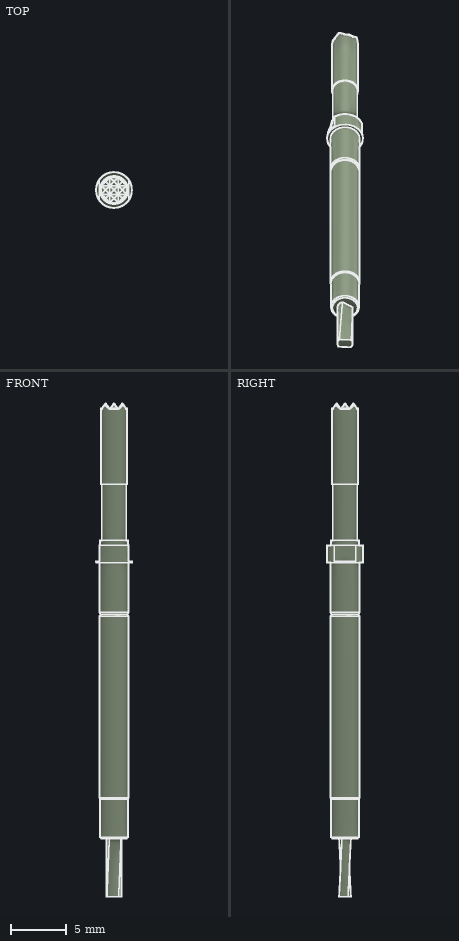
import cadquery as cq
import math


TOTAL_LENGTH = 44.1

TAIL_TOP = 5.2
BARREL_STEP = 8.75
GROOVE_CENTRE = 25.25
FLANGE_BOTTOM = 29.85
FLANGE_TOP = 31.4
HOUSING_TOP = 31.85
PLUNGER_STEP = 36.9

BARREL_DIAMETER = 2.6
NECK_DIAMETER = 2.5
STEP_TAPER_LENGTH = 0.15
END_CHAMFER = 0.15
GROOVE_WIDTH = 0.35
GROOVE_DEPTH = 0.1
FLANGE_DIAMETER = 3.2
FLANGE_FLAT_WIDTH = 2.6
FLANGE_RIM = 0.15

TAIL_DIAMETER = 1.35
TAIL_THICKNESS = 0.85
TAIL_TWIST = 29.0

STEM_DIAMETER = 2.2
HEAD_DIAMETER = 2.35
TOOTH_PITCH = 0.75
TOOTH_ROWS = 3
TOOTH_HEIGHT = 0.55


def cylinder(diameter, bottom, top):
    return cq.Workplane("XY").workplane(offset=bottom).circle(diameter / 2).extrude(top - bottom)


def make_barrel():
    """Turned body of the housing: thin end, step, V-groove and upper collar."""
    radius = BARREL_DIAMETER / 2
    neck_radius = NECK_DIAMETER / 2
    outline = [
        (0, TAIL_TOP),
        (neck_radius - END_CHAMFER, TAIL_TOP),
        (neck_radius, TAIL_TOP + END_CHAMFER),
        (neck_radius, BARREL_STEP),
        (radius, BARREL_STEP + STEP_TAPER_LENGTH),
        (radius, GROOVE_CENTRE - GROOVE_WIDTH / 2),
        (radius - GROOVE_DEPTH, GROOVE_CENTRE),
        (radius, GROOVE_CENTRE + GROOVE_WIDTH / 2),
        (radius, FLANGE_BOTTOM),
        (neck_radius, FLANGE_BOTTOM),
        (neck_radius, HOUSING_TOP),
        (0, HOUSING_TOP),
    ]
    return cq.Workplane("XZ").polyline(outline).close().revolve(360, (0, 0), (0, 1))


def make_flange():
    """Round flange with two flats that stop short of a thin rim at the bottom."""
    rim_top = FLANGE_BOTTOM + FLANGE_RIM
    rim = cylinder(FLANGE_DIAMETER, FLANGE_BOTTOM, rim_top)
    flats = (
        cq.Workplane("XY")
        .workplane(offset=rim_top)
        .rect(FLANGE_FLAT_WIDTH, FLANGE_DIAMETER)
        .extrude(FLANGE_TOP - rim_top)
    )
    return rim.union(cylinder(FLANGE_DIAMETER, rim_top, FLANGE_TOP).intersect(flats))


def make_tail():
    """Flattened wire twisted evenly about the axis, with its flats facing Y at mid-length."""
    radius = TAIL_DIAMETER / 2
    flat_y = TAIL_THICKNESS / 2
    flat_x = math.sqrt(radius**2 - flat_y**2)
    return (
        cq.Workplane("XY")
        .transformed(rotate=(0, 0, -TAIL_TWIST / 2))
        .moveTo(-flat_x, -flat_y)
        .lineTo(flat_x, -flat_y)
        .threePointArc((radius, 0), (flat_x, flat_y))
        .lineTo(-flat_x, flat_y)
        .threePointArc((-radius, 0), (-flat_x, -flat_y))
        .close()
        .twistExtrude(TAIL_TOP, TAIL_TWIST)
    )


def make_housing():
    bore = cylinder(STEM_DIAMETER, FLANGE_BOTTOM, HOUSING_TOP)
    return make_barrel().union(make_flange()).union(make_tail()).cut(bore)


def crown_groove(offset):
    """V-groove along Y across the plunger top, centred at the given X offset."""
    half_width = TOOTH_PITCH / 2
    return (
        cq.Workplane("XZ", origin=(0, HEAD_DIAMETER, 0))
        .moveTo(offset - half_width, TOTAL_LENGTH)
        .lineTo(offset, TOTAL_LENGTH - TOOTH_HEIGHT)
        .lineTo(offset + half_width, TOTAL_LENGTH)
        .close()
        .extrude(2 * HEAD_DIAMETER)
    )


def make_plunger():
    """Stem in the housing bore and a thicker head with a grid of pyramid teeth."""
    stem = cylinder(STEM_DIAMETER, FLANGE_BOTTOM, PLUNGER_STEP)
    plunger = stem.union(cylinder(HEAD_DIAMETER, PLUNGER_STEP, TOTAL_LENGTH))
    for index in range(TOOTH_ROWS + 1):
        groove = crown_groove((index - TOOTH_ROWS / 2) * TOOTH_PITCH)
        plunger = plunger.cut(groove).cut(groove.rotate((0, 0, 0), (0, 0, 1), 90))
    return plunger


housing = make_housing()
plunger = make_plunger()

result = cq.Compound.makeCompound([housing.val(), plunger.val()])